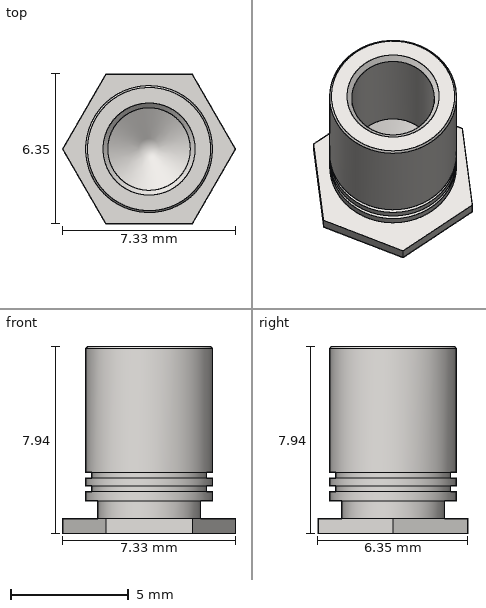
import cadquery as cq
import math

total_height = 7.94
hex_across_flats = 6.35
hex_thickness = 0.635

barrel_diameter = 5.38
groove_diameter = 4.875
neck_diameter = 4.37
rim_chamfer = 0.08

lower_ring_bottom = 1.39
lower_ring_top = 1.78
upper_ring_bottom = 2.025
upper_ring_top = 2.36
barrel_bottom = 2.605

bore_diameter = 3.5
bore_mouth_diameter = 3.91
bore_depth = 5.56
drill_tip_angle = 118.0


def cylinder_between(diameter, bottom, top):
    """Cylinder on the Z axis between two heights."""
    return cq.Workplane("XY").workplane(offset=bottom).circle(diameter / 2).extrude(top - bottom)


def hex_head():
    """Hexagonal flange with corners on the X axis."""
    across_corners = hex_across_flats / math.cos(math.radians(30))
    return cq.Workplane("XY").polygon(6, across_corners).extrude(hex_thickness)


def bore():
    """Revolved blind bore with a chamfered mouth and a conical bottom."""
    radius = bore_diameter / 2
    mouth_radius = bore_mouth_diameter / 2
    mouth_depth = mouth_radius - radius
    cone_height = radius / math.tan(math.radians(drill_tip_angle / 2))
    cone_top = total_height - bore_depth
    return (
        cq.Workplane("XZ")
        .moveTo(0, total_height)
        .lineTo(mouth_radius, total_height)
        .lineTo(radius, total_height - mouth_depth)
        .lineTo(radius, cone_top)
        .lineTo(0, cone_top - cone_height)
        .close()
        .revolve(360, (0, 0, 0), (0, 1, 0))
    )


barrel = cylinder_between(barrel_diameter, barrel_bottom, total_height)
barrel = barrel.faces(">Z").edges().chamfer(rim_chamfer)

result = hex_head()
result = result.union(cylinder_between(neck_diameter, hex_thickness, lower_ring_bottom))
result = result.union(cylinder_between(groove_diameter, lower_ring_bottom, barrel_bottom))
for ring_bottom, ring_top in (
    (lower_ring_bottom, lower_ring_top),
    (upper_ring_bottom, upper_ring_top),
):
    result = result.union(cylinder_between(barrel_diameter, ring_bottom, ring_top))
result = result.union(barrel).cut(bore())